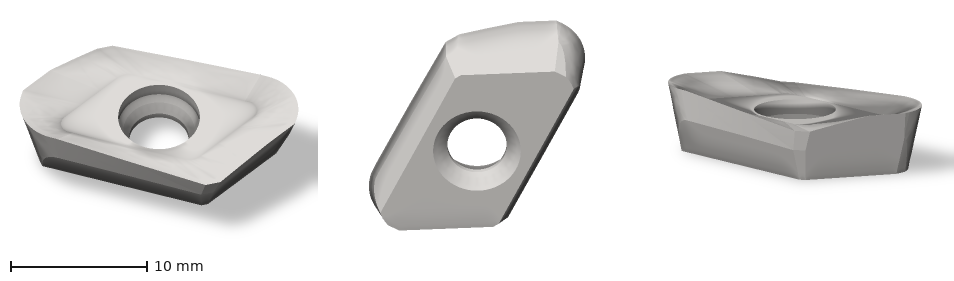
import cadquery as cq
import math

LENGTH = 20.0
HEIGHT = 5.0
NOSE_RADIUS = 3.2
NOSE_SIDE_Y = -5.0
NOSE_SHIFT = 1.4
WALL_END_TOP_Y = -5.55
WALL_END_BOTTOM_Y = -4.55

RELIEF = math.tan(math.radians(20))
CLEARANCE_PLANES = {
    "end flank": (150.0, 6.2, 0.356),
    "long wall relief": (-90.8, 4.08, RELIEF),
    "nose relief": (180.0, 8.35, RELIEF),
    "corner upper": (-59.2, 6.15, 0.25),
    "corner relief": (-59.2, 5.85, RELIEF),
}

SEAT_Z = 3.8
SEAT_HALF_WIDTH = 3.22
SEAT_END_OFFSET = 4.75
SEAT_ACUTE_RADIUS = 0.8
SEAT_OBTUSE_RADIUS = 1.2
END_ANGLE = math.radians(60)

LOW_CORNER_Z = 4.0
END_SLOPE_MIDDLE_Z = 4.45
END_TOP = cq.Vector(-8.62, 1.0, HEIGHT)
END_BOTTOM = cq.Vector(-10.0, -1.35, HEIGHT)
WALL_START = cq.Vector(-6.3, -5.02, HEIGHT)
LOW_CORNER = cq.Vector(5.12, -5.25, LOW_CORNER_Z)
LOW_CORNER_END = cq.Vector(6.05, -4.7, LOW_CORNER_Z)
END_SLOPE_MIDDLE = cq.Vector(7.15, -3.05, END_SLOPE_MIDDLE_Z)

SEAT_END_TOP_Y = 1.12
SEAT_END_BOTTOM_Y = -0.5
SEAT_NOSE_Y = -0.75
SEAT_WALL_START_X = -5.62
SEAT_WALL_END_X = 2.05

RAKE_OVERRUN = 1.25
NOSE_SPLIT = 221
TOOL_TOP_Z = HEIGHT + 2.0

HEAD_RADIUS = 3.0
HEAD_FLOOR_Z = 2.7
CONE_RADIUS = 2.62
CONE_END_Z = 2.2
BORE_RADIUS = 2.18
BORE_TOP_Z = 1.45
BORE_BOTTOM_Z = 0.98
EXIT_RADIUS = 3.22

CUT_SIZE = 3 * LENGTH


def half_turn(shape):
    return shape.rotate(cq.Vector(0, 0, 0), cq.Vector(0, 0, 1), 180)


def half_turn_point(point):
    return cq.Vector(-point.x, -point.y, point.z)


def body_outline(z, shift, wall_end_y):
    """Rectangle with two opposite corners rounded by the nose radius."""
    end_x = LENGTH / 2 - shift
    nose_x = -end_x + NOSE_RADIUS
    nose_y = NOSE_SIDE_Y + NOSE_RADIUS
    diagonal = NOSE_RADIUS * math.sqrt(0.5)
    return (
        cq.Workplane("XY", origin=(0, 0, z))
        .moveTo(-end_x, nose_y)
        .threePointArc((nose_x - diagonal, nose_y - diagonal), (nose_x, NOSE_SIDE_Y))
        .lineTo(end_x, wall_end_y)
        .lineTo(end_x, -nose_y)
        .threePointArc((-nose_x + diagonal, -nose_y + diagonal), (-nose_x, -NOSE_SIDE_Y))
        .lineTo(-end_x, -wall_end_y)
        .close()
        .val()
    )


def clearance_cut(angle, offset, lean):
    """Block lying outside a plane that leans outward with height."""
    turn = math.radians(angle)
    nx, ny = math.cos(turn), math.sin(turn)
    plane = cq.Plane(
        origin=(offset * nx, offset * ny, 0),
        xDir=(-ny, nx, 0),
        normal=(nx, ny, -lean),
    )
    return cq.Workplane(plane).rect(CUT_SIZE, CUT_SIZE).extrude(LENGTH).val()


def make_body():
    bottom = body_outline(0, NOSE_SHIFT, WALL_END_BOTTOM_Y)
    top = body_outline(HEIGHT, 0, WALL_END_TOP_Y)
    body = cq.Solid.makeLoft([bottom, top], True)
    for angle, offset, lean in CLEARANCE_PLANES.values():
        cutter = clearance_cut(angle, offset, lean)
        body = body.cut(cutter, half_turn(cutter))
    return body


def seat_end_point(y):
    """Point at height y on the straight left end of the seat."""
    x = (y * math.cos(END_ANGLE) - SEAT_END_OFFSET) / math.sin(END_ANGLE)
    return cq.Vector(x, y, SEAT_Z)


def seat_front_point(x):
    return cq.Vector(x, -SEAT_HALF_WIDTH, SEAT_Z)


def seat_round(center_x, radius, turns):
    """Start, middle and end of a rounded seat corner that touches the front side of the seat."""
    center_y = -SEAT_HALF_WIDTH + radius
    points = []
    for turn in turns:
        angle = math.radians(turn)
        x = center_x + radius * math.cos(angle)
        y = center_y + radius * math.sin(angle)
        points.append(cq.Vector(x, y, SEAT_Z))
    return points


def acute_round():
    radius = SEAT_ACUTE_RADIUS
    end_x = seat_end_point(-SEAT_HALF_WIDTH + radius).x
    return seat_round(end_x + radius / math.sin(END_ANGLE), radius, (150, 210, 270))


def obtuse_round():
    radius = SEAT_OBTUSE_RADIUS
    end_x = -seat_end_point(SEAT_HALF_WIDTH - radius).x
    return seat_round(end_x - radius / math.sin(END_ANGLE), radius, (270, 300, 330))


def nose_point(turn):
    angle = math.radians(turn)
    x = -LENGTH / 2 + NOSE_RADIUS * (1 + math.cos(angle))
    y = NOSE_SIDE_Y + NOSE_RADIUS * (1 + math.sin(angle))
    return cq.Vector(x, y, HEIGHT)


def rake_stations():
    """Half of the rake, as pairs (seat point, cutting edge point) and the midpoints of curved stretches."""
    acute_start, acute_middle, acute_end = acute_round()
    obtuse_start, obtuse_middle, obtuse_end = obtuse_round()
    stations = [
        (seat_end_point(SEAT_END_TOP_Y), END_TOP),
        (seat_end_point(SEAT_END_BOTTOM_Y), END_BOTTOM),
        (seat_end_point(SEAT_NOSE_Y), nose_point(180)),
        (acute_start, nose_point(NOSE_SPLIT)),
        (acute_end, nose_point(270)),
        (seat_front_point(SEAT_WALL_START_X), WALL_START),
        (seat_front_point(SEAT_WALL_END_X), LOW_CORNER),
        (obtuse_start, LOW_CORNER_END),
        (obtuse_end, END_SLOPE_MIDDLE),
    ]
    bends = {
        2: (None, nose_point((180 + NOSE_SPLIT) / 2)),
        3: (acute_middle, nose_point((NOSE_SPLIT + 270) / 2)),
        7: (obtuse_middle, None),
    }
    return stations, bends


def curve(start, bend, end):
    if bend is None:
        return cq.Edge.makeLine(start, end)
    return cq.Edge.makeThreePointArc(start, bend, end)


def overrun(seat_point, edge_point):
    return seat_point + (edge_point - seat_point) * RAKE_OVERRUN


def lifted(point):
    return cq.Vector(point.x, point.y, TOOL_TOP_Z)


def make_rake_tool():
    """Everything above the seat and the ruled rake faces that climb from it to the cutting edge."""
    stations, bends = rake_stations()
    seat_start, rim_start = stations[0]
    stations.append((half_turn_point(seat_start), half_turn_point(rim_start)))
    seat_edges, lid_edges, faces = [], [], []
    for index in range(len(stations) - 1):
        (seat_a, rim_a), (seat_b, rim_b) = stations[index], stations[index + 1]
        seat_bend, rim_bend = bends.get(index, (None, None))
        outer_a, outer_b = overrun(seat_a, rim_a), overrun(seat_b, rim_b)
        outer_bend, lid_bend = None, None
        if rim_bend is not None:
            outer_bend = overrun(seat_bend or (seat_a + seat_b) * 0.5, rim_bend)
            lid_bend = lifted(outer_bend)
        seat_edge = curve(seat_a, seat_bend, seat_b)
        outer_edge = curve(outer_a, outer_bend, outer_b)
        lid_edge = curve(lifted(outer_a), lid_bend, lifted(outer_b))
        seat_edges += [seat_edge, half_turn(seat_edge)]
        lid_edges += [lid_edge, half_turn(lid_edge)]
        for face in (
            cq.Face.makeRuledSurface(seat_edge, outer_edge),
            cq.Face.makeRuledSurface(outer_edge, lid_edge),
        ):
            faces += [face, half_turn(face)]
    for edges in (seat_edges, lid_edges):
        faces.append(cq.Face.makeFromWires(cq.Wire.combine(edges)[0]))
    return cq.Solid.makeSolid(cq.Shell.makeShell(faces)).fix()


def make_hole():
    return (
        cq.Workplane("XZ")
        .moveTo(0, 0)
        .lineTo(EXIT_RADIUS, 0)
        .lineTo(BORE_RADIUS, BORE_BOTTOM_Z)
        .lineTo(BORE_RADIUS, BORE_TOP_Z)
        .lineTo(CONE_RADIUS, CONE_END_Z)
        .lineTo(HEAD_RADIUS, HEAD_FLOOR_Z)
        .lineTo(HEAD_RADIUS, HEIGHT)
        .lineTo(0, HEIGHT)
        .close()
        .revolve(360, (0, 0, 0), (0, 1, 0))
        .val()
    )


result = cq.Workplane(make_body()).cut(cq.Workplane(make_rake_tool())).cut(cq.Workplane(make_hole()))